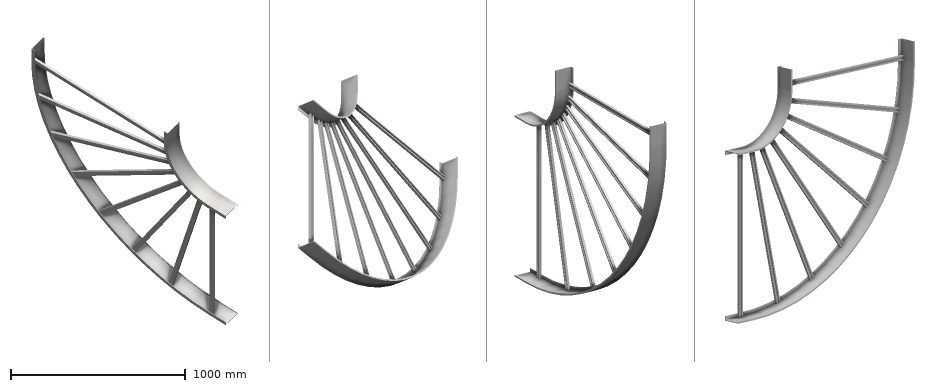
import cadquery as cq
import math


inner_radius = 300.0
ladder_width = 1000.0
straight_length = 125.0
outer_radius = inner_radius + ladder_width
bend_center = outer_radius
rail_end = bend_center + straight_length
bend_angle = 90.0

rail_height = 110.0
web_thickness = 4.0
flange_width = 27.0
flange_thickness = 2.5
lip_width = 10.0
lip_thickness = 5.0

rung_count = 8
rung_width = 30.0
rung_depth = 15.0
rung_thickness = 2.0
rung_lip = 8.0
rung_flange_gap = 4.0
rung_back = flange_thickness + rung_flange_gap


def bend_strip(small_radius, large_radius, y_start, y_end):
    """Solid between two concentric bend lines, each a quarter arc with a straight run at both ends."""
    small_side = bend_center - small_radius
    large_side = bend_center - large_radius
    small_middle = bend_center - small_radius * math.sqrt(0.5)
    large_middle = bend_center - large_radius * math.sqrt(0.5)
    return (
        cq.Workplane("XZ", origin=(0, y_start, 0))
        .moveTo(large_side, rail_end)
        .lineTo(large_side, bend_center)
        .threePointArc((large_middle, large_middle), (bend_center, large_side))
        .lineTo(rail_end, large_side)
        .lineTo(rail_end, small_side)
        .lineTo(bend_center, small_side)
        .threePointArc((small_middle, small_middle), (small_side, bend_center))
        .lineTo(small_side, rail_end)
        .close()
        .extrude(y_start - y_end)
    )


def make_rail(web_radius, rung_direction):
    """Rail with its web's outside face at web_radius; radius changes by rung_direction toward the rungs."""

    def strip(width, y_start, y_end):
        radii = sorted((web_radius, web_radius + rung_direction * width))
        return bend_strip(*radii, y_start, y_end)

    web = strip(web_thickness, 0, rail_height)
    flange = strip(flange_width, 0, flange_thickness)
    lip = strip(lip_width, rail_height - lip_thickness, rail_height)
    return web.union(flange).union(lip)


def rung_bar(y_start, y_end, width):
    """Rectangular bar from the bend axis along -X, centred on Z = 0."""
    return (
        cq.Workplane("YZ")
        .center((y_start + y_end) / 2, 0)
        .rect(y_end - y_start, width)
        .extrude(-outer_radius)
    )


def make_rung(angle, side_shift):
    """Rung at angle below the -X direction, moved sideways off the bend radius by side_shift."""
    rung_front = rung_back + rung_depth
    inside_back = rung_back + rung_thickness
    inside_front = rung_front - rung_thickness
    channel = (
        rung_bar(rung_back, rung_front, rung_width)
        .cut(rung_bar(inside_back, inside_front, rung_width - 2 * rung_thickness))
        .cut(rung_bar(inside_front, rung_front, rung_width - 2 * rung_lip))
    )
    placed = (
        channel.translate((0, 0, side_shift))
        .rotate((0, 0, 0), (0, 1, 0), -angle)
        .translate((bend_center, 0, bend_center))
    )
    between_webs = bend_strip(
        inner_radius + web_thickness, outer_radius - web_thickness, 0, rail_height
    )
    return placed.intersect(between_webs)


inner_rail = make_rail(inner_radius, 1)
outer_rail = make_rail(outer_radius, -1)

last_rung = rung_count - 1
end_shifts = {0: rung_width / 2, last_rung: -rung_width / 2}
rungs = []
for index in range(rung_count):
    rung_angle = bend_angle * index / last_rung
    rungs.append(make_rung(rung_angle, end_shifts.get(index, 0)))

result = cq.Compound.makeCompound(
    [inner_rail.val(), outer_rail.val(), *[rung.solids().val() for rung in rungs]]
)